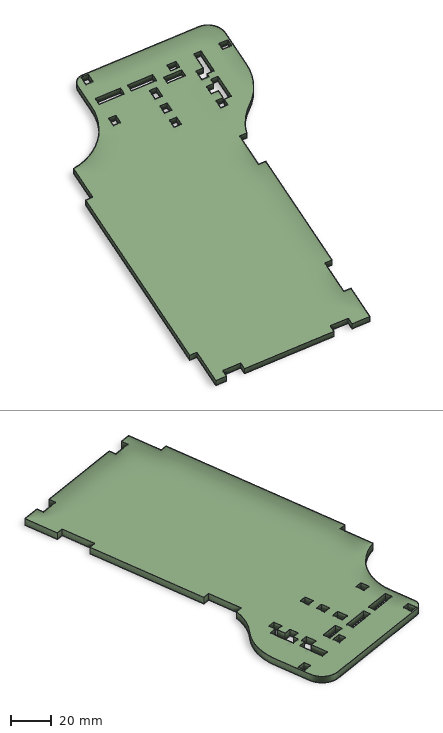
import cadquery as cq
import math

length = 200.0
width = 110.0
thickness = 4.0
joint_depth = thickness

body_top = 90.0
top_notch_length = 20.0
body_start_x = 70.0
top_notch_starts = (body_start_x, 160.0)
bottom_tab_end = 180.0
end_notch_length = 10.0
end_notch_bases = (10.0, 70.0)

handle_bottom = 30.0
lower_corner_radius = 5.0
upper_corner_radius = 10.0
sweep_radius = 30.0
lower_sweep_x = 20.0
upper_sweep_x = 32.0

peg_length = 5.0
slot_length = 14.0
short_slot_length = 10.0
peg_column_x = 14.0
peg_column_bases = (75.0, 104.0)
short_slot_corner = (20.0, 70.0)
slot_column_x = 16.0
slot_column_bases = (34.0, 52.0)
lower_peg_y = 34.0
lower_peg_starts = (1.0, 30.0)
tooth_spans = ((24.0, 30.0), (35.0, 40.0), (45.0, 50.0))
tooth_row_bases = (60.0, 86.0)
upper_slot_starts = (14.0, 32.0)
upper_slot_y = tooth_row_bases[1] + joint_depth


def point_on_circle(center, angle):
    return (
        center[0] + sweep_radius * math.cos(angle),
        center[1] + sweep_radius * math.sin(angle),
    )


def angle_between(start, end):
    return math.atan2(end[1] - start[1], end[0] - start[0])


def upper_sweep():
    """Return the points of two tangent equal arcs ending at the body corner."""
    convex_center = (upper_sweep_x, width - sweep_radius)
    body_corner = (body_start_x, body_top)
    reach = math.dist(convex_center, body_corner)
    cosine = (reach**2 + (2 * sweep_radius)**2 - sweep_radius**2) / (4 * sweep_radius * reach)
    join_angle = angle_between(convex_center, body_corner) + math.acos(cosine)
    join = point_on_circle(convex_center, join_angle)
    concave_center = tuple(2 * j - c for j, c in zip(join, convex_center))

    convex_middle = point_on_circle(convex_center, (math.pi / 2 + join_angle) / 2)
    start_angle = join_angle + math.pi
    end_angle = angle_between(concave_center, body_corner) % (2 * math.pi)
    concave_middle = point_on_circle(concave_center, (start_angle + end_angle) / 2)
    return convex_middle, join, concave_middle, body_corner


def block(x, y, size_x, size_y):
    return cq.Workplane("XY").box(size_x, size_y, thickness, centered=False).translate((x, y, 0))


def round_corner(plate, y, radius):
    """Round the vertical edge of the handle's left side at the given y."""
    corner = cq.selectors.NearestToPointSelector((0, y, thickness / 2))
    return plate.edges(corner).fillet(radius)


def make_plate():
    convex_middle, join, concave_middle, body_corner = upper_sweep()
    lower_center = (lower_sweep_x, handle_bottom - sweep_radius)
    lower_end_angle = math.asin((joint_depth - lower_center[1]) / sweep_radius)
    lower_end = point_on_circle(lower_center, lower_end_angle)
    lower_middle = point_on_circle(lower_center, (math.pi / 2 + lower_end_angle) / 2)

    plate = (
        cq.Workplane("XY")
        .moveTo(0, handle_bottom)
        .lineTo(0, width)
        .lineTo(upper_sweep_x, width)
        .threePointArc(convex_middle, join)
        .threePointArc(concave_middle, body_corner)
        .lineTo(length, body_top)
        .lineTo(length, joint_depth)
        .lineTo(bottom_tab_end, joint_depth)
        .lineTo(bottom_tab_end, 0)
        .lineTo(body_start_x, 0)
        .lineTo(body_start_x, joint_depth)
        .lineTo(*lower_end)
        .threePointArc(lower_middle, (lower_sweep_x, handle_bottom))
        .close()
        .extrude(thickness)
    )
    plate = round_corner(plate, width, upper_corner_radius)
    return round_corner(plate, handle_bottom, lower_corner_radius)


def cut_edge_notches(plate):
    for x in top_notch_starts:
        plate = plate.cut(block(x, body_top - joint_depth, top_notch_length, joint_depth))
    for y in end_notch_bases:
        plate = plate.cut(block(length - joint_depth, y, joint_depth, end_notch_length))
    return plate


def cut_windows(plate):
    for y in peg_column_bases:
        plate = plate.cut(block(peg_column_x, y, joint_depth, peg_length))
    for x in lower_peg_starts:
        plate = plate.cut(block(x, lower_peg_y, peg_length, joint_depth))
    for y in slot_column_bases:
        plate = plate.cut(block(slot_column_x, y, joint_depth, slot_length))
    plate = plate.cut(block(*short_slot_corner, joint_depth, short_slot_length))
    for x in upper_slot_starts:
        plate = plate.cut(block(x, upper_slot_y, slot_length, joint_depth))
    for y in tooth_row_bases:
        for start, end in tooth_spans:
            plate = plate.cut(block(start, y, end - start, joint_depth))
    return plate


result = cut_windows(cut_edge_notches(make_plate()))